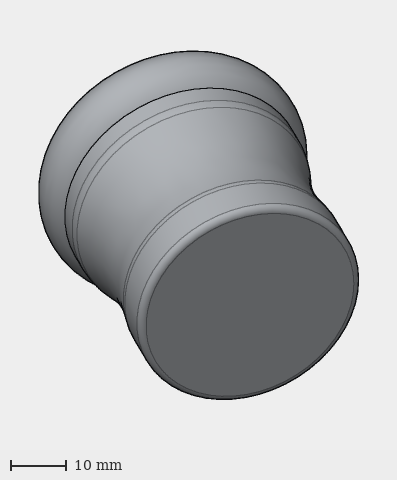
import cadquery as cq
import math

total_length = 50.0
overall_diameter = 50.0

tube_radius = 8.0
ring_radius = overall_diameter / 2 - tube_radius

collar_radius = 45.0 / 2
end_radius = 42.0 / 2
waist_radius = 20.0
collar_end_x = 17.75
waist_start_x = 19.55
waist_start_radius = 22.2
waist_x = 32.8
waist_end_x = 41.05
waist_end_radius = 20.9
end_band_x = 42.15
end_fillet = 1.3

seat_half_width = collar_radius - ring_radius
seat_face_x = tube_radius + math.sqrt(tube_radius**2 - seat_half_width**2)
seat_inner_radius = ring_radius - seat_half_width
seat_bottom_x = 2 * tube_radius


def revolve_about_x(profile):
    return profile.revolve(360, (0, 0, 0), (1, 0, 0))


def make_ring():
    tube = cq.Workplane("XY").center(tube_radius, ring_radius).circle(tube_radius)
    return tube.revolve(360, (0, -ring_radius, 0), (1, -ring_radius, 0))


def make_body():
    profile = (
        cq.Workplane("XY")
        .moveTo(seat_face_x, 0)
        .lineTo(seat_face_x, seat_inner_radius)
        .threePointArc((seat_bottom_x, ring_radius), (seat_face_x, collar_radius))
        .lineTo(collar_end_x, collar_radius)
        .tangentArcPoint((waist_start_x, waist_start_radius), relative=False)
        .threePointArc((waist_x, waist_radius), (waist_end_x, waist_end_radius))
        .tangentArcPoint((end_band_x, end_radius), relative=False)
        .lineTo(total_length, end_radius)
        .lineTo(total_length, 0)
        .close()
    )
    return revolve_about_x(profile).faces(">X").edges().fillet(end_fillet)


ring = make_ring()
body = make_body()

result = cq.Compound.makeCompound([ring.val(), body.val()])